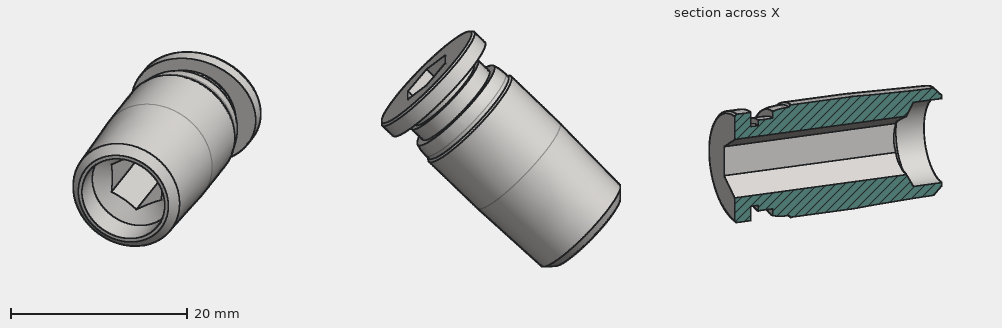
import cadquery as cq
import math

total_length = 25.7
nose_chamfer = 1.0
taper_end = 11.0
body_end = 19.0
ring_crown_start = 19.5
ring_end = 21.0
collar_end = 22.8
flange_thickness = 2.0
flange_start = total_length - flange_thickness

body_diameter = 13.5
pipe_taper = 1 / 16
taper_small_diameter = body_diameter - pipe_taper * (taper_end - nose_chamfer)
nose_diameter = taper_small_diameter - 2 * nose_chamfer
ring_diameter = 13.0
ring_end_diameter = 12.5
collar_diameter = 10.9
neck_diameter = 9.6

flange_width = 15.0
flange_height = 13.0
flange_chamfer = 0.25

bore_diameter = 10.0
bore_depth = 3.5
drill_point_angle = 120.0
hex_across_flats = 6.0


def make_body():
    """Revolve the stepped outside, from the nose to the inner face of the flange."""
    body_edge_chamfer = (body_diameter - ring_diameter) / 2
    crown_drop = (ring_diameter - ring_end_diameter) / 2
    crown_length = ring_end - ring_crown_start
    crown_radius = (crown_length**2 + crown_drop**2) / (2 * crown_drop)
    crown_half_angle = math.asin(crown_length / crown_radius) / 2
    crown_middle = (
        ring_diameter / 2 - crown_radius * (1 - math.cos(crown_half_angle)),
        ring_crown_start + crown_radius * math.sin(crown_half_angle),
    )
    profile = (
        cq.Workplane("XY")
        .moveTo(0, 0)
        .lineTo(nose_diameter / 2, 0)
        .lineTo(taper_small_diameter / 2, nose_chamfer)
        .lineTo(body_diameter / 2, taper_end)
        .lineTo(body_diameter / 2, body_end - body_edge_chamfer)
        .lineTo(ring_diameter / 2, body_end)
        .lineTo(ring_diameter / 2, ring_crown_start)
        .threePointArc(crown_middle, (ring_end_diameter / 2, ring_end))
        .lineTo(collar_diameter / 2, ring_end)
        .lineTo(collar_diameter / 2, collar_end)
        .lineTo(neck_diameter / 2, collar_end)
        .lineTo(neck_diameter / 2, flange_start)
        .lineTo(0, flange_start)
        .close()
    )
    return profile.revolve(360, (0, 0, 0), (0, 1, 0))


def make_flange():
    """Elliptical flange with its outer rim chamfered."""
    return (
        cq.Workplane("XZ", origin=(0, flange_start, 0))
        .ellipse(flange_width / 2, flange_height / 2)
        .extrude(-flange_thickness)
        .faces(">Y")
        .chamfer(flange_chamfer)
    )


def make_bore():
    """Straight bore from the nose, ending in a conical drill point."""
    radius = bore_diameter / 2
    point_length = radius / math.tan(math.radians(drill_point_angle / 2))
    return (
        cq.Workplane("XY")
        .moveTo(0, 0)
        .lineTo(radius, 0)
        .lineTo(radius, bore_depth)
        .lineTo(0, bore_depth + point_length)
        .close()
        .revolve(360, (0, 0, 0), (0, 1, 0))
    )


def make_hex_passage():
    """Hexagon through the full length, with flats facing +X and -X and corners at top and bottom."""
    side_count = 6
    across_corners = hex_across_flats / math.cos(math.pi / side_count)
    quarter_turn = (0, 0, 90)
    return (
        cq.Workplane("XZ")
        .transformed(rotate=quarter_turn)
        .polygon(side_count, across_corners)
        .extrude(-total_length)
    )


result = make_body().union(make_flange()).cut(make_bore()).cut(make_hex_passage())